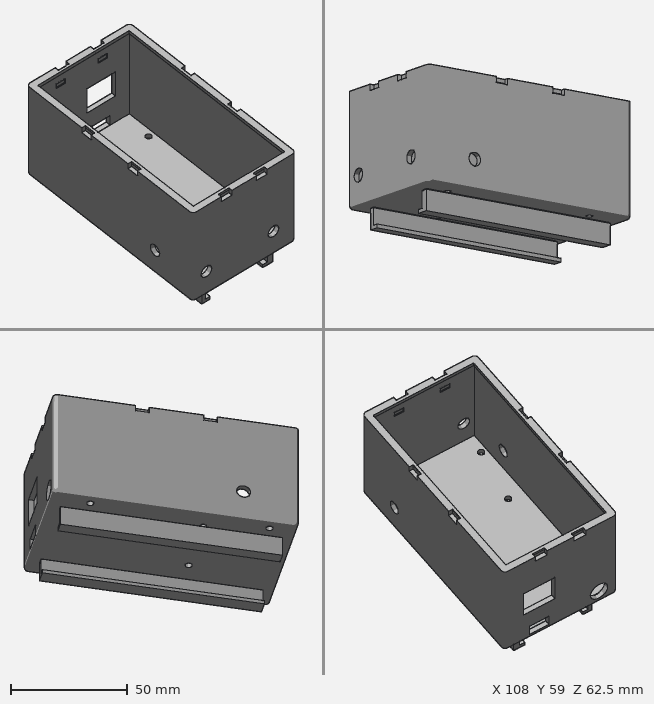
import cadquery as cq

length = 108.0
width = 59.0
total_height = 62.5
leg_height = 10.0
box_height = total_height - leg_height
edge_radius = 2.0

wall = 2.5
floor = 2.5
rim_wall = 3.5
rim_height = 1.7

notch_width = 6.0
notch_depth = 2.0
notch_height = 2.8
notch_offset_long = 15.0
notch_offset_end = 10.0

pocket_width = 5.0
pocket_height = 2.5
pocket_depth = 0.5
pocket_offset = 12.0
pocket_below_top = 8.3

cable_hole_diameter = 6.0
cable_hole_height = 13.9
side_hole_x = 29.5
end_hole_ys = (16.6, -21.6)
jack_diameter = 9.0
jack_y = -20.0
jack_height = 7.3

socket_openings = (
    (11.0, 24.8, 16.2, 14.1),
    (11.0, 5.4, 9.9, 5.4),
)

screw_diameter = 3.0
screw_points = (
    (-35.4, 23.9),
    (38.0, 21.4),
    (14.0, 8.6),
    (14.0, -19.1),
    (-36.7, -24.2),
    (42.1, -24.2),
)

leg_length = 97.7
leg_inner_y = 17.7
front_leg_thickness = 2.0
rear_leg_thickness = 3.1
hook_reach = 2.7
hook_thickness = 1.7
leg_chamfer = 0.5


def block(size_x, size_y, size_z, x, y, z):
    """Box centred at x, y with its underside at z."""
    solid = cq.Workplane("XY").box(size_x, size_y, size_z, centered=(True, True, False))
    return solid.translate((x, y, z))


def rod(diameter, rod_length, start, direction):
    """Cylinder that starts at a point and runs along a direction."""
    solid = cq.Solid.makeCylinder(diameter / 2, rod_length, cq.Vector(*start), cq.Vector(*direction))
    return cq.Workplane(solid)


def shell():
    body = block(length, width, box_height, 0, 0, 0)
    body = body.edges("|Z").fillet(edge_radius)
    body = body.faces("<Z").edges().fillet(edge_radius)
    cavity_height = box_height - floor - rim_height
    cavity = block(length - 2 * wall, width - 2 * wall, cavity_height, 0, 0, floor)
    mouth = block(length - 2 * rim_wall, width - 2 * rim_wall, box_height, 0, 0, floor)
    return body.cut(cavity).cut(mouth)


def rim_notches():
    z = box_height - notch_height
    long_y = (width - notch_depth) / 2
    end_x = (length - notch_depth) / 2
    cuts = cq.Workplane("XY")
    for side in (-1, 1):
        for place in (-1, 1):
            x = place * notch_offset_long
            y = place * notch_offset_end
            cuts = cuts.add(block(notch_width, notch_depth, notch_height, x, side * long_y, z))
            cuts = cuts.add(block(notch_depth, notch_width, notch_height, side * end_x, y, z))
    return cuts.combine()


def snap_pockets():
    x = length / 2 - wall + pocket_depth / 2
    z = box_height - pocket_below_top - pocket_height / 2
    cuts = cq.Workplane("XY")
    for side in (-1, 1):
        for place in (-1, 1):
            y = place * pocket_offset
            cuts = cuts.add(block(pocket_depth, pocket_width, pocket_height, side * x, y, z))
    return cuts.combine()


def leg(side, thickness):
    """Chamfered post with a hook that points towards the centre; side is the sign of Y."""
    post_y = side * (leg_inner_y + thickness / 2)
    post = block(leg_length, thickness, leg_height, 0, post_y, -leg_height)
    post = post.faces(">Z").edges().chamfer(leg_chamfer)
    hook_y = side * (leg_inner_y - hook_reach / 2)
    return post.union(block(leg_length, hook_reach, hook_thickness, 0, hook_y, -leg_height))


result = shell().cut(rim_notches()).cut(snap_pockets())

result = result.cut(rod(cable_hole_diameter, width, (side_hole_x, -width / 2, cable_hole_height), (0, 1, 0)))
for y in end_hole_ys:
    result = result.cut(rod(cable_hole_diameter, length / 2, (0, y, cable_hole_height), (1, 0, 0)))

result = result.cut(rod(jack_diameter, wall, (-length / 2, jack_y, jack_height), (1, 0, 0)))
for y, z, opening_width, opening_height in socket_openings:
    opening_x = (wall - length) / 2
    result = result.cut(block(wall, opening_width, opening_height, opening_x, y, z - opening_height / 2))

for x, y in screw_points:
    result = result.cut(rod(screw_diameter, floor, (x, y, 0), (0, 0, 1)))

result = result.union(leg(-1, front_leg_thickness)).union(leg(1, rear_leg_thickness))